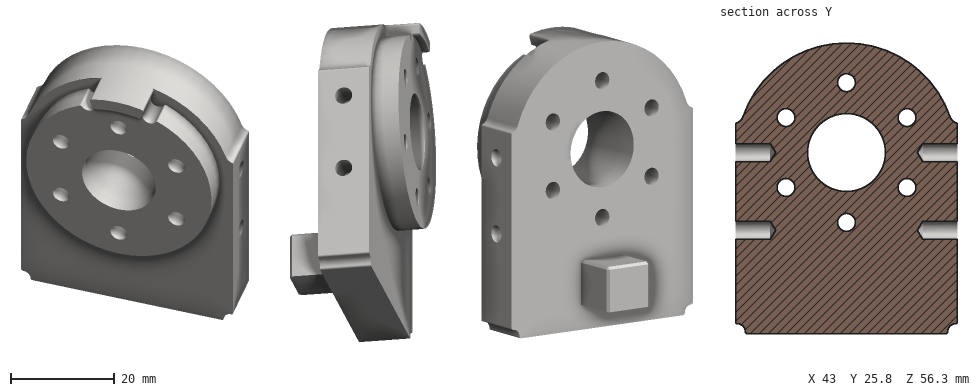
import cadquery as cq
import math


total_height = 56.3
plate_width = 43.0
plate_thickness = 10.1
head_radius = 21.2
shoulder_radius = 2.0
shoulder_outset = 0.45
corner_notch_radius = 1.5
corner_notch_inset = 0.4
small_round = 0.4

disc_radius = 18.8
disc_height = 5.25
relief_radius = 1.45
relief_angle = 19.5
relief_round = 0.4
lug_height = 6.7
lug_half_angle = 15.0
lug_round = 0.5

bore_radius = 7.5
screw_hole_radius = 1.7
screw_circle_radius = 13.5
screw_count = 6
side_hole_depth = 6.75
side_hole_spacing = 15.0
drill_tip_half_angle = 59.0

block_width = 10.0
block_height = 8.9
block_length = 8.95
block_bottom_gap = 4.9
block_chamfer = 0.5

half_width = plate_width / 2
bottom_z = head_radius - total_height


def polar(radius, angle):
    """Point at an angle in degrees measured from +Z toward +X."""
    turn = math.radians(angle)
    return (radius * math.sin(turn), radius * math.cos(turn))


def mirrored(point):
    return (-point[0], point[1])


def extrude_along_y(profile, start, end):
    """Extrude a closed XZ-plane profile from Y = start to Y = end."""
    return profile.extrude(start - end).translate((0, start, 0))


def cylinder(center, radius, start, end):
    profile = cq.Workplane("XZ").center(*center).circle(radius)
    return extrude_along_y(profile, start, end)


def edges_near(center, reach):
    """Selector box along the whole depth around a point in the XZ plane."""
    x, z = center
    depth = lug_height + plate_thickness
    return cq.selectors.BoxSelector((x - reach, -depth, z - reach), (x + reach, depth, z + reach))


def make_plate():
    center_distance = head_radius + shoulder_radius
    center_x = half_width + shoulder_outset
    shoulder_angle = math.degrees(math.asin(center_x / center_distance))
    center_z = polar(center_distance, shoulder_angle)[1]
    side_angle = math.degrees(math.asin(shoulder_outset / shoulder_radius))
    middle_offset = polar(shoulder_radius, 180 + (shoulder_angle + side_angle) / 2)
    corner_offset = polar(shoulder_radius, 180 + side_angle)
    tangent = polar(head_radius, shoulder_angle)
    middle = (center_x + middle_offset[0], center_z + middle_offset[1])
    corner = (half_width, center_z + corner_offset[1])

    outline = (
        cq.Workplane("XZ")
        .moveTo(-half_width, bottom_z)
        .lineTo(half_width, bottom_z)
        .lineTo(*corner)
        .threePointArc(middle, tangent)
        .threePointArc((0, head_radius), mirrored(tangent))
        .threePointArc(mirrored(middle), mirrored(corner))
        .close()
    )
    plate = extrude_along_y(outline, 0, plate_thickness)

    notch_x = half_width - corner_notch_inset
    notch_z = bottom_z + corner_notch_inset
    for side in (-1, 1):
        plate = plate.cut(cylinder((side * notch_x, notch_z), corner_notch_radius, 0, plate_thickness))

    notch_reach = corner_notch_inset + math.sqrt(corner_notch_radius**2 - corner_notch_inset**2)
    sharp_corners = [
        corner,
        (half_width, bottom_z + notch_reach),
        (half_width - notch_reach, bottom_z),
    ]
    for point in sharp_corners:
        for place in (point, mirrored(point)):
            plate = plate.edges("|Y").edges(edges_near(place, small_round)).fillet(small_round)
    return plate


def make_disc():
    disc = cylinder((0, 0), disc_radius, -disc_height, 0)
    relief_center = polar(disc_radius, relief_angle)
    relief_half_span = 2 * math.degrees(math.asin(relief_radius / (2 * disc_radius)))
    outer_corner = polar(disc_radius, relief_angle + relief_half_span)
    for center in (relief_center, mirrored(relief_center)):
        disc = disc.cut(cylinder(center, relief_radius, -disc_height, 0))
    for place in (outer_corner, mirrored(outer_corner)):
        disc = disc.edges("|Y").edges(edges_near(place, relief_round)).fillet(relief_round)
    return disc


def lug_sector(start, end):
    """Ring sector flush with the round head, from Y = start to Y = end."""
    outer = polar(head_radius, lug_half_angle)
    inner = polar(disc_radius, lug_half_angle)
    profile = (
        cq.Workplane("XZ")
        .moveTo(*mirrored(inner))
        .lineTo(*mirrored(outer))
        .threePointArc((0, head_radius), outer)
        .lineTo(*inner)
        .threePointArc((0, disc_radius), mirrored(inner))
        .close()
    )
    return extrude_along_y(profile, start, end)


def round_lug_edges(body, radius):
    """Round the two lug edges lying at the given distance from the bore axis."""
    corner = polar(radius, lug_half_angle)
    for place in (corner, mirrored(corner)):
        body = body.edges("|Y").edges(edges_near(place, lug_round)).fillet(lug_round)
    return body


def make_lug():
    """Lug rounded on its outer edges; the inner ones are rounded only where it stands proud of the disc."""
    base = lug_sector(-disc_height, 0)
    proud = round_lug_edges(lug_sector(-lug_height, -disc_height), disc_radius)
    return round_lug_edges(base.union(proud), head_radius)


def make_block():
    """Rear block, chamfered on every free edge except those of its underside."""
    block = cq.Workplane("XY").box(block_width, block_length, block_height, centered=(True, False, False))
    block = block.edges("(|Y and >Z) or (>Y and (not <Z))").chamfer(block_chamfer)
    return block.translate((0, plate_thickness, bottom_z + block_bottom_gap))


def make_side_hole(side, z):
    """Blind hole with a conical drill tip, entering from the -X or +X side."""
    tip_length = screw_hole_radius / math.tan(math.radians(drill_tip_half_angle))
    half_section = (
        cq.Workplane("XY")
        .lineTo(0, screw_hole_radius)
        .lineTo(side_hole_depth, screw_hole_radius)
        .lineTo(side_hole_depth + tip_length, 0)
        .close()
    )
    hole = half_section.revolve(360, (0, 0, 0), (1, 0, 0))
    if side > 0:
        hole = hole.mirror("YZ")
    return hole.translate((side * half_width, plate_thickness / 2, z))


result = make_plate().union(make_disc()).union(make_lug()).union(make_block())

result = result.cut(cylinder((0, 0), bore_radius, -disc_height, plate_thickness))
for index in range(screw_count):
    hole_center = polar(screw_circle_radius, index * 360 / screw_count)
    result = result.cut(cylinder(hole_center, screw_hole_radius, -disc_height, plate_thickness))

for side in (-1, 1):
    for hole_z in (0, -side_hole_spacing):
        result = result.cut(make_side_hole(side, hole_z))